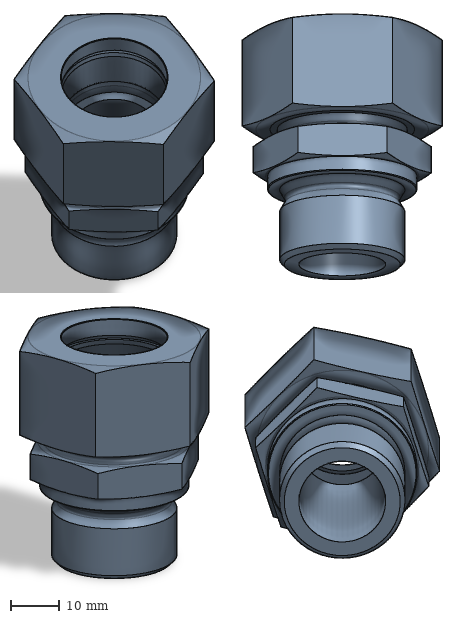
import cadquery as cq
import math


TOTAL_HEIGHT = 49.0
GROOVE_BOTTOM_Z = 11.3
FLANGE_BOTTOM_Z = 16.0
HEX_BOTTOM_Z = 19.0
HEX_TOP_Z = 26.0
SOCKET_FLOOR_Z = 32.5
RING_TOP_Z = 44.35
NUT_HEIGHT = 20.0
NUT_BOTTOM_Z = TOTAL_HEIGHT - NUT_HEIGHT

NUT_ACROSS_FLATS = 36.0
BODY_ACROSS_FLATS = 32.0
HEX_CHAMFER_ANGLE = 15.0
HEX_CHAMFER_INSET = 0.1
CORNER_CLEARANCE = 0.5

BORE_RADIUS = 18.0 / 2
STUD_RADIUS = 26.0 / 2
STUD_CHAMFER = 1.0
GROOVE_CONE_ANGLE = 30.0
GROOVE_FLOOR_RADIUS = 11.85
FLANGE_RADIUS = 31.0 / 2
FLANGE_CHAMFER = 0.2
NECK_RADIUS = 27.0 / 2
NECK_FILLET = 1.2
THREAD_RADIUS = 30.0 / 2

TUBE_RADIUS = 22.0 / 2
SEAT_MOUTH_RADIUS = 24.3 / 2
SEAT_CONE_ANGLE = 12.0
CONE_BOTTOM_Z = 34.5
SEAT_SLOPE = math.tan(math.radians(SEAT_CONE_ANGLE))
BODY_TOP_Z = CONE_BOTTOM_Z + (SEAT_MOUTH_RADIUS - TUBE_RADIUS) / SEAT_SLOPE

RING_BOTTOM_Z = 35.75
RING_CHAMFER_WIDTH = 0.3
RING_CHAMFER_HEIGHT = 0.9

NUT_MOUTH_DEPTH = 3.65
NUT_MOUTH_CHAMFER = 0.15


def revolved(profile):
    """Revolve a closed profile of radius (local X) and height (local Y) about Z."""
    return profile.close().revolve(360, (0, 0, 0), (0, 1, 0))


def chamfered_hexagon(across_flats, bottom_z, top_z):
    """Hexagonal prism with flats facing +/-X and conical chamfers on both ends."""
    corner_radius = across_flats / math.sqrt(3)
    prism = (
        cq.Workplane("XY", origin=(0, 0, bottom_z))
        .polygon(6, 2 * corner_radius)
        .extrude(top_z - bottom_z)
        .rotate((0, 0, 0), (0, 0, 1), 30)
    )
    face_radius = across_flats / 2 - HEX_CHAMFER_INSET
    outer_radius = corner_radius + CORNER_CLEARANCE
    drop = (outer_radius - face_radius) * math.tan(math.radians(HEX_CHAMFER_ANGLE))
    envelope = revolved(
        cq.Workplane("XZ")
        .moveTo(0, bottom_z)
        .lineTo(face_radius, bottom_z)
        .lineTo(outer_radius, bottom_z + drop)
        .lineTo(outer_radius, top_z - drop)
        .lineTo(face_radius, top_z)
        .lineTo(0, top_z)
    )
    return prism.intersect(envelope)


def seat_radius(height):
    """Radius of the conical tube seat at a height."""
    return TUBE_RADIUS + (height - CONE_BOTTOM_Z) * SEAT_SLOPE


def make_stud():
    """Stud with an undercut groove below the flange, up to the hexagon."""
    flank = math.radians(GROOVE_CONE_ANGLE)
    groove_half = (FLANGE_BOTTOM_Z - GROOVE_BOTTOM_Z) / 2
    groove_z = GROOVE_BOTTOM_Z + groove_half
    flank_corner_radius = STUD_RADIUS - groove_half * math.tan(flank)
    floor_arc = (GROOVE_FLOOR_RADIUS - flank_corner_radius) / (1 / math.cos(flank) - 1)
    arc_half = floor_arc * math.sin(flank)
    arc_end_radius = flank_corner_radius + arc_half * math.tan(flank)
    return revolved(
        cq.Workplane("XZ")
        .moveTo(0, 0)
        .lineTo(STUD_RADIUS - STUD_CHAMFER, 0)
        .lineTo(STUD_RADIUS, STUD_CHAMFER)
        .lineTo(STUD_RADIUS, GROOVE_BOTTOM_Z)
        .lineTo(arc_end_radius, groove_z - arc_half)
        .threePointArc((GROOVE_FLOOR_RADIUS, groove_z), (arc_end_radius, groove_z + arc_half))
        .lineTo(STUD_RADIUS, FLANGE_BOTTOM_Z)
        .lineTo(FLANGE_RADIUS - FLANGE_CHAMFER, FLANGE_BOTTOM_Z)
        .lineTo(FLANGE_RADIUS, FLANGE_BOTTOM_Z + FLANGE_CHAMFER)
        .lineTo(FLANGE_RADIUS, HEX_BOTTOM_Z)
        .lineTo(0, HEX_BOTTOM_Z)
    )


def make_neck():
    """Neck filleted onto the hexagon, with the threaded end above it."""
    arc_offset = NECK_FILLET * (1 - math.sqrt(0.5))
    return revolved(
        cq.Workplane("XZ")
        .moveTo(0, HEX_TOP_Z)
        .lineTo(NECK_RADIUS + NECK_FILLET, HEX_TOP_Z)
        .threePointArc(
            (NECK_RADIUS + arc_offset, HEX_TOP_Z + arc_offset),
            (NECK_RADIUS, HEX_TOP_Z + NECK_FILLET),
        )
        .lineTo(NECK_RADIUS, NUT_BOTTOM_Z)
        .lineTo(THREAD_RADIUS, NUT_BOTTOM_Z)
        .lineTo(THREAD_RADIUS, BODY_TOP_Z)
        .lineTo(0, BODY_TOP_Z)
    )


def make_body_cavity():
    """Through bore, tube socket and conical seat."""
    return revolved(
        cq.Workplane("XZ")
        .moveTo(0, 0)
        .lineTo(BORE_RADIUS, 0)
        .lineTo(BORE_RADIUS, SOCKET_FLOOR_Z)
        .lineTo(TUBE_RADIUS, SOCKET_FLOOR_Z)
        .lineTo(TUBE_RADIUS, CONE_BOTTOM_Z)
        .lineTo(SEAT_MOUTH_RADIUS, BODY_TOP_Z)
        .lineTo(0, BODY_TOP_Z)
    )


def make_body():
    hexagon = chamfered_hexagon(BODY_ACROSS_FLATS, HEX_BOTTOM_Z, HEX_TOP_Z)
    return make_stud().union(hexagon).union(make_neck()).cut(make_body_cavity())


def make_cutting_ring():
    """Ring resting in the conical seat, its cylindrical top inside the nut."""
    return revolved(
        cq.Workplane("XZ")
        .moveTo(TUBE_RADIUS, RING_BOTTOM_Z)
        .lineTo(seat_radius(RING_BOTTOM_Z), RING_BOTTOM_Z)
        .lineTo(SEAT_MOUTH_RADIUS, BODY_TOP_Z)
        .lineTo(SEAT_MOUTH_RADIUS, RING_TOP_Z)
        .lineTo(TUBE_RADIUS + RING_CHAMFER_WIDTH, RING_TOP_Z)
        .lineTo(TUBE_RADIUS, RING_TOP_Z - RING_CHAMFER_HEIGHT)
    )


def make_nut():
    """Union nut, bored for the thread, the ring and the tube."""
    mouth_bottom_z = TOTAL_HEIGHT - NUT_MOUTH_DEPTH
    cavity = revolved(
        cq.Workplane("XZ")
        .moveTo(0, NUT_BOTTOM_Z)
        .lineTo(THREAD_RADIUS, NUT_BOTTOM_Z)
        .lineTo(THREAD_RADIUS, BODY_TOP_Z)
        .lineTo(SEAT_MOUTH_RADIUS, BODY_TOP_Z)
        .lineTo(SEAT_MOUTH_RADIUS, mouth_bottom_z)
        .lineTo(TUBE_RADIUS, mouth_bottom_z)
        .lineTo(TUBE_RADIUS, TOTAL_HEIGHT - NUT_MOUTH_CHAMFER)
        .lineTo(TUBE_RADIUS + NUT_MOUTH_CHAMFER, TOTAL_HEIGHT)
        .lineTo(0, TOTAL_HEIGHT)
    )
    return chamfered_hexagon(NUT_ACROSS_FLATS, NUT_BOTTOM_Z, TOTAL_HEIGHT).cut(cavity)


body = make_body()
cutting_ring = make_cutting_ring()
nut = make_nut()

result = cq.Compound.makeCompound([body.val(), cutting_ring.val(), nut.val()])